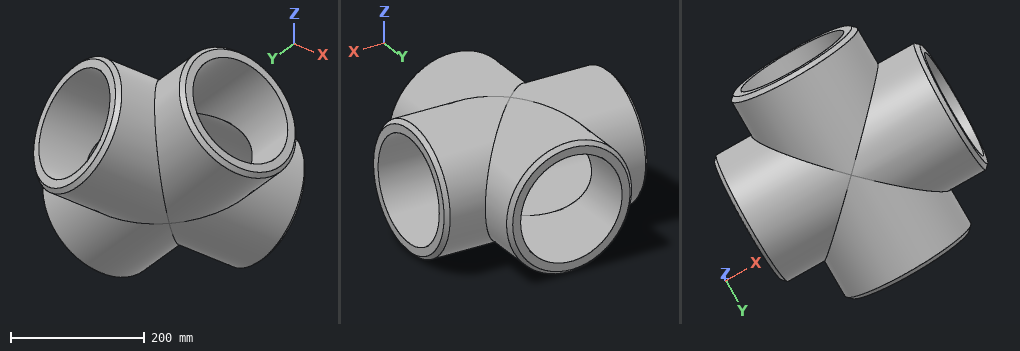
import cadquery as cq

length = 355.5
outer_diameter = 219.0
bore_diameter = 177.8
end_chamfer = 6.8


def centred_cylinder(plane, diameter):
    """Cylinder of the full pipe length, running along the plane's normal."""
    return cq.Workplane(plane).circle(diameter / 2).extrude(length / 2, both=True)


def outer_pipe(plane, end_faces):
    """Solid pipe body with both end rims bevelled."""
    return centred_cylinder(plane, outer_diameter).faces(end_faces).chamfer(end_chamfer)


body = outer_pipe("YZ", "|X").union(outer_pipe("XZ", "|Y"))

for plane in ("YZ", "XZ"):
    body = body.cut(centred_cylinder(plane, bore_diameter))

result = body